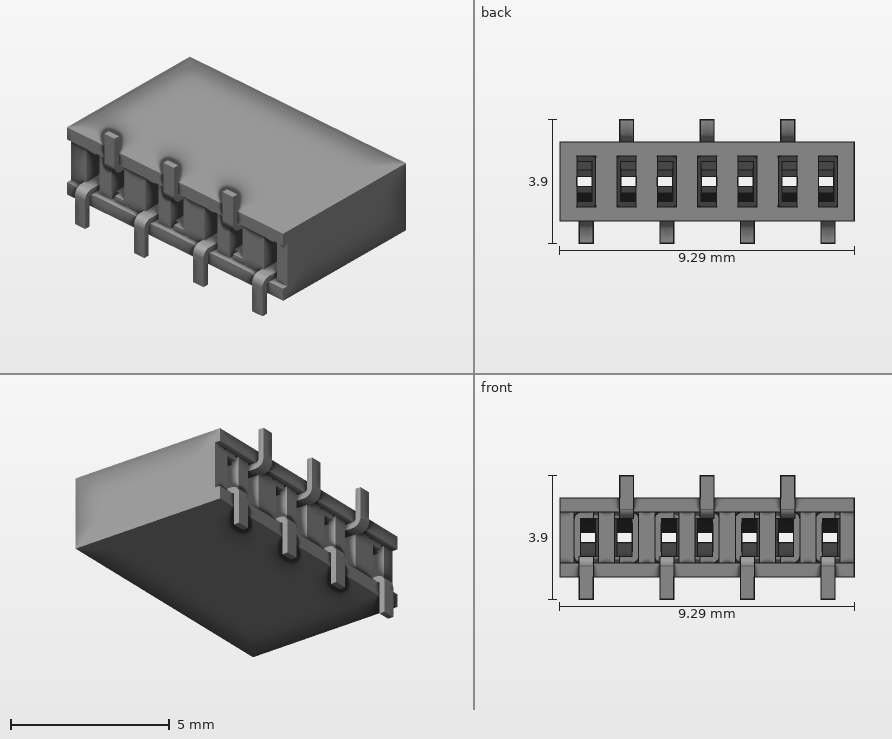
import cadquery as cq
import math

housing_length = 9.29
housing_depth = 5.7
housing_height = 2.5
recess_depth = 0.195

contact_count = 7
end_wall = 0.455
pocket_width = 0.76
pocket_height = 1.6
pocket_depth = 1.35
hole_width = 0.59
pitch = (housing_length - 2 * end_wall - pocket_width) / (contact_count - 1)

sheet = 0.2
foot_width = 0.45
foot_reach = 0.3
foot_tip = 1.95
outer_bend = foot_reach
inner_bend = outer_bend - sheet
frame_corner = 0.195
tab_start = 0.25
spring_start = 0.56
spring_angle = math.radians(20.8)
spring_bend = 1.67
tip_bend = 0.2
spring_gap = 0.31

pocket_floor = recess_depth + pocket_depth
arm_outer = pocket_height / 2
arm_inner = arm_outer - sheet
base_side = -pocket_width / 2
arm_end = foot_width / 2


def box(x0, x1, y0, y1, z0, z1):
    """A box between two opposite corners."""
    return cq.Workplane("XY").box(x1 - x0, y1 - y0, z1 - z0, centered=False).translate((x0, y0, z0))


def centered_box(width, y0, y1, height):
    """A box centred on the Y axis."""
    return box(-width / 2, width / 2, y0, y1, -height / 2, height / 2)


def slot_positions():
    """X of every contact."""
    return [(i - (contact_count - 1) / 2) * pitch for i in range(contact_count)]


def make_housing():
    """Block with a recessed front wall between two rails, and a cavity for each contact."""
    body = box(
        -housing_length / 2, housing_length / 2, 0, housing_depth, -housing_height / 2, housing_height / 2
    )
    body = body.cut(centered_box(housing_length, 0, recess_depth, pocket_height))
    pocket = centered_box(pocket_width, recess_depth, pocket_floor, pocket_height)
    hole = centered_box(hole_width, pocket_floor, housing_depth, pocket_height)
    for x in slot_positions():
        body = body.cut(pocket.translate((x, 0, 0))).cut(hole.translate((x, 0, 0)))
    return body


def make_frame():
    """C-shaped frame: an upright base on one side of the pocket and an arm at its top and bottom."""
    frame = box(base_side, arm_end, recess_depth, pocket_floor, -arm_outer, arm_outer)
    frame = frame.edges("|Y and <X").fillet(frame_corner)
    opening = box(base_side + sheet, arm_end, recess_depth, pocket_floor, -arm_inner, arm_inner)
    return frame.cut(opening)


def make_tab():
    """Widening of the upper arm that reaches the far side of the pocket."""
    return box(arm_end, pocket_width / 2, recess_depth + tab_start, pocket_floor, arm_inner, arm_outer)


def make_spring():
    """Upper spring: runs back along the arm, slopes towards the middle and levels out at its tip."""
    sin_a = math.sin(spring_angle)
    cos_a = math.cos(spring_angle)
    sin_half = math.sin(spring_angle / 2)
    cos_half = math.cos(spring_angle / 2)
    drop = arm_inner - spring_gap / 2
    bend_outer = spring_bend + sheet
    tip_outer = tip_bend + sheet

    bend_y = recess_depth + spring_start
    bend_z = arm_inner - spring_bend
    slope_drop = drop - (spring_bend + tip_outer) * (1 - cos_a)
    tip_y = bend_y + (spring_bend + tip_outer) * sin_a + slope_drop * cos_a / sin_a
    tip_z = spring_gap / 2 + tip_outer
    slope = (cos_a, -sin_a)

    def bend_point(radius):
        return (bend_y + radius * sin_a, bend_z + radius * cos_a)

    def tip_point(radius, sin_t, cos_t):
        return (tip_y - radius * sin_t, tip_z - radius * cos_t)

    inner_slope_end = tip_point(tip_outer, sin_a, cos_a)
    outer_slope_end = tip_point(tip_bend, sin_a, cos_a)
    profile = (
        cq.Workplane("YZ")
        .moveTo(recess_depth + tab_start, arm_inner)
        .lineTo(bend_y, arm_inner)
        .spline([bend_point(spring_bend), inner_slope_end], tangents=[(1, 0), slope], includeCurrent=True)
        .threePointArc(tip_point(tip_outer, sin_half, cos_half), tip_point(tip_outer, 0, 1))
        .lineTo(*tip_point(tip_bend, 0, 1))
        .threePointArc(tip_point(tip_bend, sin_half, cos_half), outer_slope_end)
        .lineTo(*bend_point(bend_outer))
        .threePointArc(
            (bend_y + bend_outer * sin_half, bend_z + bend_outer * cos_half), (bend_y, arm_outer)
        )
        .lineTo(recess_depth + tab_start, arm_outer)
        .close()
    )
    left_side = base_side + frame_corner
    right_side = hole_width / 2
    return profile.extrude(right_side - left_side).translate((left_side, 0, 0))


def make_foot():
    """Foot: leaves the lower arm forwards and bends down in front of the housing."""
    bend_y = 0
    bend_z = -arm_inner - outer_bend
    diagonal = math.sqrt(0.5)
    profile = (
        cq.Workplane("YZ")
        .moveTo(recess_depth, -arm_inner)
        .lineTo(bend_y, -arm_inner)
        .threePointArc(
            (bend_y - outer_bend * diagonal, bend_z + outer_bend * diagonal), (-foot_reach, bend_z)
        )
        .lineTo(-foot_reach, -foot_tip)
        .lineTo(-foot_reach + sheet, -foot_tip)
        .lineTo(-foot_reach + sheet, bend_z)
        .threePointArc(
            (bend_y - inner_bend * diagonal, bend_z + inner_bend * diagonal), (bend_y, -arm_outer)
        )
        .lineTo(recess_depth, -arm_outer)
        .close()
    )
    return profile.extrude(foot_width / 2, both=True)


def make_contact():
    """Contact with its base on the -X side and its foot pointing down."""
    contact = make_frame().union(make_foot())
    for arm_part in (make_tab(), make_spring()):
        contact = contact.union(arm_part).union(arm_part.mirror("XY"))
    return contact


def make_contacts():
    """Row of contacts; every second one is turned half a turn about Y, so its foot points up."""
    contact = make_contact()
    turned = contact.rotate((0, 0, 0), (0, 1, 0), 180)
    return [
        (turned if i % 2 else contact).translate((x, 0, 0)).val()
        for i, x in enumerate(slot_positions())
    ]


housing = make_housing()
contacts = make_contacts()

result = cq.Compound.makeCompound([housing.val(), *contacts])